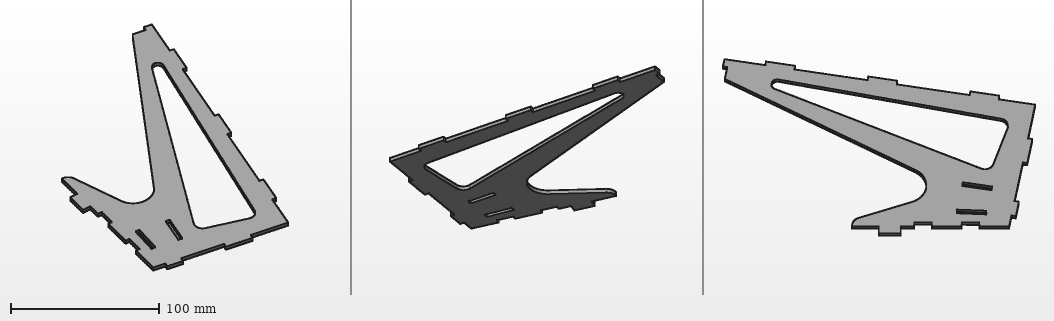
import cadquery as cq
import math


THICKNESS = 3.0
BODY_LENGTH = 210.0
LEFT_SIDE_HEIGHT = 15.9
RIGHT_SIDE_HEIGHT = 101.0

TAB_DEPTH = THICKNESS
TOP_TAB_LENGTH = 20.0
TOP_TAB_FIRST = 25.0
TOP_TAB_PITCH = 70.0
TOP_TAB_COUNT = 3
RIGHT_TABS = [(28.0, 20.0), (80.0, 12.0)]
LEFT_TAB_LENGTH = 6.0

BASE_ANGLE = 10.0
BASE_TAB_LENGTH = 20.0
BASE_NOTCH_COUNT = 2
BASE_NOTCH_LENGTH = 12.0
BASE_NOTCH_DEPTH = THICKNESS
BASE_SHOULDER_LENGTH = 9.0
FOOT_LENGTH = 15.0
FOOT_DEPTH = 6.0
TOE_LENGTH = 18.0

ARM_ANGLE = -20.0
HOOK_ANGLE = 30.0
THROAT_X = 168.8
THROAT_RADIUS = 14.3
TOE_RADIUS = 6.8

WINDOW_APEX = (0.1, -8.75)
WINDOW_TOP_ANGLE = -2.0
WINDOW_BOTTOM_ANGLE = -15.0
WINDOW_SIDE_ANGLE = 82.0
WINDOW_TOP_RIGHT_X = 195.9
WINDOW_LEFT_RADIUS = 4.1
WINDOW_RIGHT_RADIUS = 6.0

SLOT_LENGTH = 20.0
SLOT_WIDTH = THICKNESS
SLOT_CENTER_X = 183.0
LEVEL_SLOT_Y = -72.5
TILTED_SLOT_Y = -93.9
TILTED_SLOT_ANGLE = 7.3


def on_line(start, angle, x):
    """Point at the given x on a line through start at an angle in degrees."""
    return (x, start[1] + (x - start[0]) * math.tan(math.radians(angle)))


def crossing(p, p_angle, q, q_angle):
    """Crossing point of two lines, each given by a point and an angle in degrees."""
    p_slope = math.tan(math.radians(p_angle))
    q_slope = math.tan(math.radians(q_angle))
    x = (q[1] - p[1] + p_slope * p[0] - q_slope * q[0]) / (p_slope - q_slope)
    return on_line(p, p_angle, x)


def on_base(along, out):
    """Point measured leftward along the sloping bottom edge and outward (down) from it."""
    angle = math.radians(BASE_ANGLE)
    x = BODY_LENGTH - along * math.cos(angle) + out * math.sin(angle)
    y = -RIGHT_SIDE_HEIGHT - along * math.sin(angle) - out * math.cos(angle)
    return (x, y)


def base_points():
    """Stepped bottom edge from the bottom-right corner to the tip of the toe."""
    points = [on_base(0, 0)]
    along = 0.0
    for _ in range(BASE_NOTCH_COUNT):
        notch_start = along + BASE_TAB_LENGTH
        along = notch_start + BASE_NOTCH_LENGTH
        points += [
            on_base(notch_start, 0),
            on_base(notch_start, -BASE_NOTCH_DEPTH),
            on_base(along, -BASE_NOTCH_DEPTH),
            on_base(along, 0),
        ]
    foot_start = along + BASE_SHOULDER_LENGTH
    foot_end = foot_start + FOOT_LENGTH
    points += [
        on_base(foot_start, 0),
        on_base(foot_start, FOOT_DEPTH),
        on_base(foot_end, FOOT_DEPTH),
        on_base(foot_end, 0),
        on_base(foot_end + TOE_LENGTH, 0),
    ]
    return points


def round_corner(solid, corner, radius):
    """Round the upright edge standing at the given corner."""
    edge_middle = (corner[0], corner[1], THICKNESS / 2)
    return solid.edges(cq.selectors.NearestToPointSelector(edge_middle)).fillet(radius)


def block(x_min, x_max, y_min, y_max):
    """Full-thickness rectangular block between the given limits."""
    size = (x_max - x_min, y_max - y_min, THICKNESS)
    return cq.Workplane("XY").box(*size, centered=False).translate((x_min, y_min, 0))


def make_body():
    """Plate body with the stepped bottom edge, the hook and its round throat."""
    arm_start = (0.0, -LEFT_SIDE_HEIGHT)
    throat = on_line(arm_start, ARM_ANGLE, THROAT_X)
    base = base_points()
    toe_end_angle = BASE_ANGLE - 90
    toe = crossing(throat, HOOK_ANGLE, base[-1], toe_end_angle)
    outline = [(0, 0), (BODY_LENGTH, 0), *base, toe, throat, arm_start]
    body = cq.Workplane("XY").polyline(outline).close().extrude(THICKNESS)
    body = round_corner(body, throat, THROAT_RADIUS)
    return round_corner(body, toe, TOE_RADIUS)


def add_tabs(plate):
    """Rectangular tabs along the top, right and left edges."""
    for i in range(TOP_TAB_COUNT):
        x = TOP_TAB_FIRST + i * TOP_TAB_PITCH
        plate = plate.union(block(x, x + TOP_TAB_LENGTH, 0, TAB_DEPTH))
    for drop, length in RIGHT_TABS:
        plate = plate.union(block(BODY_LENGTH, BODY_LENGTH + TAB_DEPTH, -drop - length, -drop))
    return plate.union(block(-TAB_DEPTH, 0, -LEFT_TAB_LENGTH, 0))


def make_window():
    """Triangular cutter with rounded corners."""
    top_right = on_line(WINDOW_APEX, WINDOW_TOP_ANGLE, WINDOW_TOP_RIGHT_X)
    bottom_right = crossing(WINDOW_APEX, WINDOW_BOTTOM_ANGLE, top_right, WINDOW_SIDE_ANGLE)
    corners = [WINDOW_APEX, top_right, bottom_right]
    radii = [WINDOW_LEFT_RADIUS, WINDOW_RIGHT_RADIUS, WINDOW_RIGHT_RADIUS]
    window = cq.Workplane("XY").polyline(corners).close().extrude(THICKNESS)
    for corner, radius in zip(corners, radii):
        window = round_corner(window, corner, radius)
    return window


def make_slot(center_y, angle):
    """Rectangular slot cutter turned about its own center."""
    slot = cq.Workplane("XY").rect(SLOT_LENGTH, SLOT_WIDTH).extrude(THICKNESS)
    slot = slot.rotate((0, 0, 0), (0, 0, 1), angle)
    return slot.translate((SLOT_CENTER_X, center_y, 0))


plate = add_tabs(make_body())
plate = plate.cut(make_window())
plate = plate.cut(make_slot(LEVEL_SLOT_Y, 0))
result = plate.cut(make_slot(TILTED_SLOT_Y, TILTED_SLOT_ANGLE))